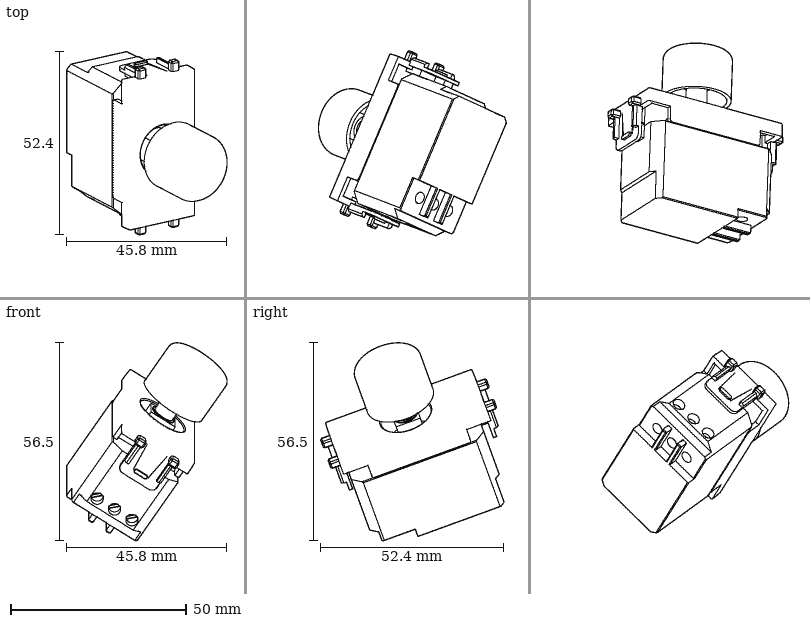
import cadquery as cq

TIP_ABOUT_Y = 33.4
TIP_ABOUT_X = 20

COVER_WIDTH = 22.5
COVER_LENGTH = 44.75
CAP_HEIGHT = 2.95
CAP_DRAFT = 3
RIM_HEIGHT = 1.3
RIM_WIDTH_Y = 1.9
RECESS_ROOF_Z = -2.05
CORNER_RADIUS = 0.35
TOP_EDGE_RADIUS = 0.45
HOLE_RADIUS = 7.45
HOLE_CHAMFER = 0.35
HOLE_COLLAR_RADIUS = 8.75
RIM_BOTTOM_Z = -(CAP_HEIGHT + RIM_HEIGHT)

FLANGE_LENGTH = 29.95
FLANGE_EDGE_RADIUS = 0.85
FLANGE_THICKNESS = 1.35

TONGUE_WIDTH = 12.4
TONGUE_OUTER_Y = COVER_LENGTH / 2
TONGUE_THICKNESS = 1.0
TONGUE_BOTTOM_Z = -14.1
TONGUE_CORNER_RADIUS = 1.7
RAMP_TOP_WIDTH = 6.8
RAMP_BOTTOM_WIDTH = 4.95
RAMP_BOTTOM_Z = -11.4
RAMP_DEPTH = 0.3
CATCH_WIDTH = 4.2
CATCH_HEIGHT = 1.15
CATCH_REACH = 0.6
CATCH_CORNER_RADIUS = 0.45
RIB_INNER_Y = 19.5
RIB_WIDTH = 9.05
RIB_BOTTOM_Z = -8.25
PAD_WIDTH = 3.4
PAD_TOP_Z = -8.6
PAD_BOTTOM_Z = -12.8
ARM_WIDTH = 1.4
ARM_BOTTOM_Z = -10.45
ARM_OUTER_Y = 23.85
ARM_CHAMFER = 0.7
HEAD_OFFSET_X = 5.65
HEAD_WIDTH = 2.7
HEAD_TOP_Z = -1.8
HEAD_HEIGHT = 2.3
HEAD_OUTER_Y = 25.2
HEAD_INNER_Y = 21.45
HEAD_CHAMFER = 0.45

HOUSING_TOP_Z = -9.0
HOUSING_BOTTOM_Z = -33.1
HOUSING_WIDTH = 22.5
HOUSING_FRONT_Y = -20.85
HOUSING_BACK_Y = 19.4
SIDE_CHAMFER_X = 3.35
SIDE_CHAMFER_Y = 2.95
EDGE_CHAMFER = 0.3
FRONT_LEDGE_Y = -18.6
FRONT_LEDGE_Z = -27.4
BACK_LEDGE_Y = 17.95
BACK_LEDGE_Z = -24.6
PLINTH_WIDTH = 19.65
PLINTH_BASE_LENGTH = 23.15
PLINTH_TOP_LENGTH = 16.4
PLINTH_HEIGHT = 1.15

TERMINAL_PITCH = 5.95
TERMINAL_FLOOR_Z = -30.45
TERMINAL_STEP_Y = -8.55
WIRE_HOLE_Y = -13
WIRE_HOLE_RADIUS = 1.65
WIRE_HOLE_DEPTH = 5.65
WALL_THICKNESS = 1.45
WALL_END_Y = -17.35
WALL_EDGE_CHAMFER = 0.3
SCREW_Z = -25.0
SCREW_RADIUS = 1.75
SCREW_FACE_DEPTH = 2.65
SCREW_HEAD_HEIGHT = 1.7
SLOT_WIDTH = 0.8
SLOT_DEPTH = 0.4
SLOT_ANGLE = 45

NUT_WIDTH = 8.25
NUT_LENGTH = 7.35
NUT_TOP_Z = 0.15
COLLAR_RADIUS = 3.6
COLLAR_HEIGHT = 0.3
SHAFT_RADIUS = 3.0
SHAFT_TOP_Z = 14.1

KNOB_RADIUS = 9.95
KNOB_BOTTOM_Z = 5.4
KNOB_SHOULDER_Z = 19.5
KNOB_EDGE_RADIUS = 1.7
KNOB_CROWN = 0.5
KNOB_WALL = 1.25
KNOB_ROOF_Z = 16.4
KNOB_HUB_RADIUS = 3.95
KNOB_HUB_BOTTOM_Z = 9.6

TERMINAL_XS = [-TERMINAL_PITCH, 0, TERMINAL_PITCH]


def block(x0, x1, y0, y1, z0, z1):
    """Axis-aligned box between the given limits."""
    return cq.Workplane("XY").box(x1 - x0, y1 - y0, z1 - z0, centered=False).translate((x0, y0, z0))


def centred_block(width, y0, y1, z0, z1):
    """Box between the given limits, centred on X = 0."""
    return block(-width / 2, width / 2, y0, y1, z0, z1)


def upright_cylinder(radius, z0, z1, x=0, y=0):
    return cq.Workplane("XY", origin=(x, y, z0)).circle(radius).extrude(z1 - z0)


def make_cover_plate():
    rim = (
        cq.Workplane("XY", origin=(0, 0, RIM_BOTTOM_Z))
        .rect(COVER_WIDTH, COVER_LENGTH)
        .extrude(RIM_HEIGHT)
        .edges("|Z")
        .fillet(CORNER_RADIUS)
    )
    cap = rim.faces(">Z").wires().toPending().workplane().extrude(CAP_HEIGHT, taper=CAP_DRAFT, combine=False)
    return rim.union(cap).faces(">Z").edges().fillet(TOP_EDGE_RADIUS)


def make_tongue():
    """Tongue with its clips, at the -Y end."""
    half_width = TONGUE_WIDTH / 2
    inner_y = -(TONGUE_OUTER_Y - TONGUE_THICKNESS)
    tongue = centred_block(TONGUE_WIDTH, -TONGUE_OUTER_Y, inner_y, TONGUE_BOTTOM_Z, -CAP_HEIGHT)
    tongue = tongue.edges("|Y and <Z").fillet(TONGUE_CORNER_RADIUS)
    rib = centred_block(RIB_WIDTH, inner_y, -RIB_INNER_Y, RIB_BOTTOM_Z, RECESS_ROOF_Z)
    catch = (
        centred_block(CATCH_WIDTH, -TONGUE_OUTER_Y - CATCH_REACH, inner_y,
                      RAMP_BOTTOM_Z - CATCH_HEIGHT / 2, RAMP_BOTTOM_Z + CATCH_HEIGHT / 2)
        .edges("|Y")
        .fillet(CATCH_CORNER_RADIUS)
    )
    tongue = tongue.union(rib).union(catch)
    arm = (
        block(-half_width, -half_width + ARM_WIDTH, -ARM_OUTER_Y, inner_y,
              ARM_BOTTOM_Z, HEAD_TOP_Z - HEAD_HEIGHT)
        .edges("|Z and <X and <Y")
        .chamfer(ARM_CHAMFER)
    )
    head = make_clip_head()
    for clip_part in (arm, head):
        tongue = tongue.union(clip_part).union(clip_part.mirror("YZ"))
    return tongue


def make_tongue_ramp():
    """Wedge removed from the outer face of the tongue, deepest at its lower end."""
    outline = [
        (-RAMP_TOP_WIDTH / 2, -CAP_HEIGHT),
        (RAMP_TOP_WIDTH / 2, -CAP_HEIGHT),
        (RAMP_BOTTOM_WIDTH / 2, RAMP_BOTTOM_Z),
        (-RAMP_BOTTOM_WIDTH / 2, RAMP_BOTTOM_Z),
    ]
    prism = cq.Workplane("XZ", origin=(0, -TONGUE_OUTER_Y, 0)).polyline(outline).close().extrude(-RAMP_DEPTH)
    wedge = (
        cq.Workplane("YZ")
        .polyline([
            (-TONGUE_OUTER_Y, -CAP_HEIGHT),
            (-TONGUE_OUTER_Y + RAMP_DEPTH, RAMP_BOTTOM_Z),
            (-TONGUE_OUTER_Y, RAMP_BOTTOM_Z),
        ])
        .close()
        .extrude(RAMP_TOP_WIDTH / 2, both=True)
    )
    return prism.intersect(wedge)


def make_clip_head():
    head_x0 = -HEAD_OFFSET_X - HEAD_WIDTH / 2
    return (
        block(head_x0, head_x0 + HEAD_WIDTH, -HEAD_OUTER_Y, -HEAD_INNER_Y,
              HEAD_TOP_Z - HEAD_HEIGHT, HEAD_TOP_Z)
        .edges("<Y or |Y")
        .chamfer(HEAD_CHAMFER)
    )


def make_cover():
    flange_half = FLANGE_LENGTH / 2
    flange = (
        block(-COVER_WIDTH / 2, -COVER_WIDTH / 2 + FLANGE_THICKNESS, -flange_half, flange_half,
              HOUSING_TOP_Z, RIM_BOTTOM_Z)
        .edges("|X and <Z")
        .fillet(FLANGE_EDGE_RADIUS)
    )
    recess_half = COVER_LENGTH / 2 - RIM_WIDTH_Y
    recess = centred_block(
        COVER_WIDTH - 2 * FLANGE_THICKNESS, -recess_half, recess_half, RIM_BOTTOM_Z, RECESS_ROOF_Z
    )
    hole_collar = upright_cylinder(HOLE_COLLAR_RADIUS, HOUSING_TOP_Z + PLINTH_HEIGHT, RECESS_ROOF_Z)
    tongue = make_tongue()
    pad_x0 = -RIB_WIDTH / 2
    pad = block(
        pad_x0, pad_x0 + PAD_WIDTH, RIB_INNER_Y, TONGUE_OUTER_Y - TONGUE_THICKNESS, PAD_BOTTOM_Z, PAD_TOP_Z
    )
    cover = make_cover_plate().cut(recess).union(hole_collar).union(flange).union(flange.mirror("YZ"))
    cover = cover.union(tongue).union(tongue.mirror("XZ")).union(pad)
    ramp = make_tongue_ramp()
    cover = cover.cut(ramp).cut(ramp.mirror("XZ"))
    cover = cover.cut(upright_cylinder(HOLE_RADIUS, HOUSING_TOP_Z, 0))
    chamfer_cone = cq.Workplane("XY").add(
        cq.Solid.makeCone(HOLE_RADIUS, HOLE_RADIUS + HOLE_CHAMFER, HOLE_CHAMFER,
                          pnt=cq.Vector(0, 0, -HOLE_CHAMFER))
    )
    return cover.cut(chamfer_cone)


def make_housing_shell():
    half_width = HOUSING_WIDTH / 2
    end_half_width = half_width - SIDE_CHAMFER_X
    outline = [
        (-half_width, HOUSING_FRONT_Y + SIDE_CHAMFER_Y),
        (-end_half_width, HOUSING_FRONT_Y),
        (end_half_width, HOUSING_FRONT_Y),
        (half_width, HOUSING_FRONT_Y + SIDE_CHAMFER_Y),
        (half_width, HOUSING_BACK_Y - SIDE_CHAMFER_Y),
        (end_half_width, HOUSING_BACK_Y),
        (-end_half_width, HOUSING_BACK_Y),
        (-half_width, HOUSING_BACK_Y - SIDE_CHAMFER_Y),
    ]
    shell = (
        cq.Workplane("XY", origin=(0, 0, HOUSING_BOTTOM_Z))
        .polyline(outline)
        .close()
        .extrude(HOUSING_TOP_Z - HOUSING_BOTTOM_Z)
    )
    shell = shell.cut(
        centred_block(HOUSING_WIDTH, HOUSING_FRONT_Y, FRONT_LEDGE_Y, HOUSING_BOTTOM_Z, FRONT_LEDGE_Z)
    )
    shell = shell.cut(
        centred_block(HOUSING_WIDTH, BACK_LEDGE_Y, HOUSING_BACK_Y, HOUSING_BOTTOM_Z, BACK_LEDGE_Z)
    )
    shell = shell.cut(
        centred_block(HOUSING_WIDTH, HOUSING_FRONT_Y, TERMINAL_STEP_Y, HOUSING_BOTTOM_Z, TERMINAL_FLOOR_Z)
    )
    return shell.faces("<X or >X").edges("|Y").chamfer(EDGE_CHAMFER)


def make_plinth():
    """Raised middle of the housing top, between the flanges of the cover."""
    plinth_top_z = HOUSING_TOP_Z + PLINTH_HEIGHT
    return (
        cq.Workplane("YZ")
        .polyline([
            (-PLINTH_BASE_LENGTH / 2, HOUSING_TOP_Z),
            (PLINTH_BASE_LENGTH / 2, HOUSING_TOP_Z),
            (PLINTH_TOP_LENGTH / 2, plinth_top_z),
            (-PLINTH_TOP_LENGTH / 2, plinth_top_z),
        ])
        .close()
        .extrude(PLINTH_WIDTH / 2, both=True)
    )


def make_terminal_wall(x):
    return (
        block(x - WALL_THICKNESS / 2, x + WALL_THICKNESS / 2, WALL_END_Y, TERMINAL_STEP_Y,
              HOUSING_BOTTOM_Z, TERMINAL_FLOOR_Z)
        .edges("(|Y and <Z) or (|X and <Z and <Y)")
        .chamfer(WALL_EDGE_CHAMFER)
    )


def terminal_cylinder(x, face_depth, height):
    """Cylinder along Y around a screw axis, starting at a depth below the front end face."""
    return (
        cq.Workplane("XZ", origin=(x, HOUSING_FRONT_Y + face_depth, SCREW_Z))
        .circle(SCREW_RADIUS)
        .extrude(-height)
    )


def make_potentiometer():
    nut = centred_block(NUT_WIDTH, -NUT_LENGTH / 2, NUT_LENGTH / 2, HOUSING_TOP_Z, NUT_TOP_Z)
    collar = upright_cylinder(COLLAR_RADIUS, NUT_TOP_Z, NUT_TOP_Z + COLLAR_HEIGHT)
    shaft = upright_cylinder(SHAFT_RADIUS, NUT_TOP_Z, SHAFT_TOP_Z)
    return nut.union(collar).union(shaft)


def make_housing():
    housing = make_housing_shell().union(make_plinth()).union(make_potentiometer())
    for x in (-TERMINAL_PITCH / 2, TERMINAL_PITCH / 2):
        housing = housing.union(make_terminal_wall(x))
    for x in TERMINAL_XS:
        wire_hole = upright_cylinder(
            WIRE_HOLE_RADIUS, TERMINAL_FLOOR_Z, TERMINAL_FLOOR_Z + WIRE_HOLE_DEPTH, x, WIRE_HOLE_Y
        )
        screw_hole = terminal_cylinder(x, 0, SCREW_FACE_DEPTH + SCREW_HEAD_HEIGHT)
        housing = housing.cut(wire_hole).cut(screw_hole)
    return housing


def make_screw(x):
    face_y = HOUSING_FRONT_Y + SCREW_FACE_DEPTH
    slot = (
        cq.Workplane("XZ", origin=(x, face_y, SCREW_Z))
        .transformed(rotate=(0, 0, SLOT_ANGLE))
        .rect(2 * SCREW_RADIUS, SLOT_WIDTH)
        .extrude(-SLOT_DEPTH)
    )
    return terminal_cylinder(x, SCREW_FACE_DEPTH, SCREW_HEAD_HEIGHT).cut(slot)


def make_knob():
    """Hollow turned knob with a domed top and a central hub bored for the shaft."""
    dome_rim_radius = KNOB_RADIUS - KNOB_EDGE_RADIUS
    dome_radius = (dome_rim_radius ** 2 + KNOB_CROWN ** 2) / (2 * KNOB_CROWN)
    bend_centre_z = KNOB_SHOULDER_Z - KNOB_EDGE_RADIUS
    bend_reach = KNOB_EDGE_RADIUS / 2 ** 0.5
    bend_middle = (dome_rim_radius + bend_reach, bend_centre_z + bend_reach)
    return (
        cq.Workplane("XZ")
        .moveTo(0, SHAFT_TOP_Z)
        .lineTo(SHAFT_RADIUS, SHAFT_TOP_Z)
        .lineTo(SHAFT_RADIUS, KNOB_HUB_BOTTOM_Z)
        .lineTo(KNOB_HUB_RADIUS, KNOB_HUB_BOTTOM_Z)
        .lineTo(KNOB_HUB_RADIUS, KNOB_ROOF_Z)
        .lineTo(KNOB_RADIUS - KNOB_WALL, KNOB_ROOF_Z)
        .lineTo(KNOB_RADIUS - KNOB_WALL, KNOB_BOTTOM_Z)
        .lineTo(KNOB_RADIUS, KNOB_BOTTOM_Z)
        .lineTo(KNOB_RADIUS, bend_centre_z)
        .threePointArc(bend_middle, (dome_rim_radius, KNOB_SHOULDER_Z))
        .radiusArc((0, KNOB_SHOULDER_Z + KNOB_CROWN), -dome_radius)
        .close()
        .revolve(360, (0, 0, 0), (0, 1, 0))
    )


cover = make_cover()
housing = make_housing()
knob = make_knob()
screws = [make_screw(x) for x in TERMINAL_XS]

module = cq.Compound.makeCompound(
    [housing.val(), cover.val(), knob.val()] + [screw.val() for screw in screws]
)
tipped = module.rotate(cq.Vector(0, 0, 0), cq.Vector(0, 1, 0), TIP_ABOUT_Y)
result = tipped.rotate(cq.Vector(0, 0, 0), cq.Vector(1, 0, 0), TIP_ABOUT_X)